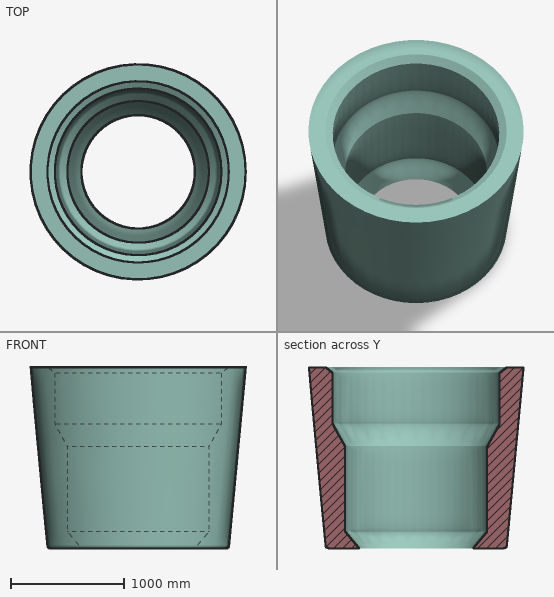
import cadquery as cq

height = 1600.0
top_radius = 950.0
bottom_radius = 800.0
bottom_edge_fillet = 30.0

mouth_radius = 800.0
socket_radius = 735.0
throat_radius = 625.0
outlet_radius = 500.0

mouth_chamfer_depth = 50.0
socket_depth = 500.0
throat_depth = 700.0

outlet_cone_height = 150.0


def tapered_body():
    """Solid frustum, wider at the top, with a rounded bottom edge."""
    profile = [(0, 0), (bottom_radius, 0), (top_radius, height), (0, height)]
    body = cq.Workplane("XZ").polyline(profile).close().revolve(360, (0, 0), (0, 1))
    return body.faces("<Z").edges().fillet(bottom_edge_fillet)


def stepped_bore():
    """Chamfered mouth, straight socket, shoulder cone, straight throat and outlet cone."""
    profile = [
        (0, 0),
        (outlet_radius, 0),
        (throat_radius, outlet_cone_height),
        (throat_radius, height - throat_depth),
        (socket_radius, height - socket_depth),
        (socket_radius, height - mouth_chamfer_depth),
        (mouth_radius, height),
        (0, height),
    ]
    return cq.Workplane("XZ").polyline(profile).close().revolve(360, (0, 0), (0, 1))


result = tapered_body().cut(stepped_bore())